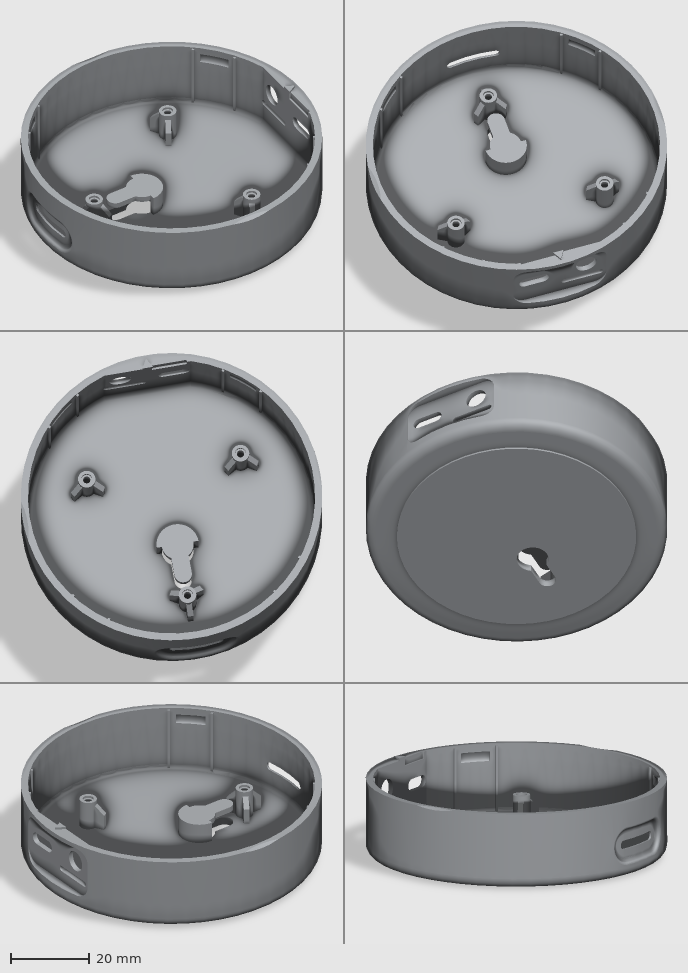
import cadquery as cq
import math

outer_radius = 38.5
pad_radius = 30.6
pad_height = 0.55
rim_height = 20.1
bottom_round = 2.5
inner_radius = 36.65
flat_wall_y = 34.9
floor_height = 2.15
floor_fillet = 1.15
anchor_height = (pad_height + floor_height) / 2
clearance = 0.8
wall_tolerance = 0.01

pointer_height = 0.6
pointer_half_width = 1.4
pointer_tip_y = 37.35
notch_left = 1.15
notch_right = 10.2
notch_depth = 0.55
notch_bottom = 18.25
scoop_radius = 20.3
scoop_reach = 1.15
scoop_depth = 0.5

port_height = 8.7
port_length = 21.8
port_width = 10.1
port_lip_round = 0.7
port_floor_fillet = 0.85
port_floor_radius = 37.2
port_slot_length = 14.2
port_slot_width = 2.3
port_end_wall_y = math.sqrt(inner_radius**2 - (port_length / 2) ** 2)

recess_face_y = 36.2
recess_width = 24.95
recess_bottom = 4.85
recess_top = 18.9
recess_corner = 3.5
round_hole_x = -7.1
round_hole_height = 13.7
round_hole_radius = 2.8
oblong_x = 6.85
oblong_height = 12.5
oblong_length = 8.0
oblong_width = 3.2
thin_slot_x = -6.0
thin_slot_height = 8.6
thin_slot_length = 11.1
thin_slot_width = 1.55

snap_angles = (50.0, 130.0, 225.0, 315.0)
rib_half_angle = 8.8
rib_width = 0.6
rib_reach = 0.55
rib_top = 19.6
pocket_half_angle = 6.0
pocket_bottom = 15.55
pocket_top = 18.1
pocket_depth = 0.6

post_radius = 2.2
post_top = 10.0
post_bore_radius = 0.9
post_mouth_radius = 1.4
post_mouth_depth = 0.6
fin_reach = 4.7
fin_width = 1.5
fin_inner_top = 8.7
fin_outer_top = 6.3
post_pair_x = 19.95
post_pair_y = 11.55
single_post_y = -23.4
pair_fin_angles = (210.0, 330.0)
single_fin_angles = (30.0, 150.0, 270.0)
posts = (
    (post_pair_x, post_pair_y, pair_fin_angles),
    (-post_pair_x, post_pair_y, pair_fin_angles),
    (0, single_post_y, single_fin_angles),
)

keyhole_y = -8.9
keyhole_head_radius = 4.1
keyhole_slot_width = 4.5
keyhole_slot_drop = 8.1
hood_radius = 5.4
hood_top = 7.6
hood_thickness = 1.55


def cylinder(radius, bottom, top, x=0.0, y=0.0):
    return cq.Workplane("XY", origin=(x, y, bottom)).circle(radius).extrude(top - bottom)


def block(x_range, y_range, z_range):
    size = [high - low for low, high in (x_range, y_range, z_range)]
    corner = (x_range[0], y_range[0], z_range[0])
    return cq.Workplane("XY", origin=corner).box(*size, centered=False)


def obround_through_wall(x, z, length, width, y_start, y_end):
    """Obround prism lying along X, running from y_start to y_end."""
    plane = cq.Workplane("XZ", origin=(x, y_start, z))
    return plane.slot2D(length, width).extrude(y_start - y_end)


def make_cavity():
    cavity = cylinder(inner_radius, floor_height, rim_height)
    reach = (-outer_radius, outer_radius)
    cavity = cavity.cut(block(reach, (flat_wall_y, outer_radius), (0, rim_height)))
    return cavity.faces("<Z").edges().fillet(floor_fillet)


def make_shell():
    body = cylinder(outer_radius, pad_height, rim_height).faces("<Z").edges().fillet(bottom_round)
    return body.union(cylinder(pad_radius, 0, anchor_height)).cut(make_cavity())


def make_pointer():
    """Small triangle on the rim that points outward at +Y."""
    corners = [(-pointer_half_width, flat_wall_y), (pointer_half_width, flat_wall_y), (0, pointer_tip_y)]
    return cq.Workplane("XY", origin=(0, 0, rim_height)).polyline(corners).close().extrude(pointer_height)


def make_rim_scoop(side):
    """Upright cone that leaves a shallow finger scoop in the rim."""
    axis_x = outer_radius - scoop_reach + scoop_radius
    profile = [
        (0, rim_height - scoop_depth),
        (scoop_radius - scoop_reach, rim_height - scoop_depth),
        (scoop_radius, rim_height),
        (0, rim_height),
    ]
    cone = cq.Workplane("XZ").polyline(profile).close().revolve(360, (0, 0), (0, 1))
    return cone.translate((side * axis_x, 0, 0))


def lies_on_outer_wall(edge):
    start = edge.startPoint()
    return math.isclose(math.hypot(start.x, start.y), outer_radius, abs_tol=wall_tolerance)


def cut_cable_port(part):
    """Sunk obround with a rounded lip and floor edge, pierced by a slot."""
    outside_y = -outer_radius - clearance
    inside_y = clearance - port_end_wall_y
    sink_length = port_length - 2 * port_lip_round
    sink_width = port_width - 2 * port_lip_round
    sink = obround_through_wall(0, port_height, sink_length, sink_width, outside_y, inside_y)
    sink = sink.cut(cylinder(port_floor_radius, 0, rim_height))
    sink = sink.faces(">Y").edges().fillet(port_floor_fillet)
    part = part.cut(sink)
    lip_zone = cq.selectors.BoxSelector(
        (-port_length / 2, outside_y, port_height - port_width / 2),
        (port_length / 2, -inner_radius, port_height + port_width / 2),
    )
    part = part.edges(lip_zone).filter(lies_on_outer_wall).fillet(port_lip_round)
    slot = obround_through_wall(0, port_height, port_slot_length, port_slot_width, outside_y, inside_y)
    return part.cut(slot)


def cut_connector_side(part):
    recess_height = recess_top - recess_bottom
    recess = cq.Workplane("XZ", origin=(0, outer_radius, recess_bottom + recess_height / 2))
    recess = recess.rect(recess_width, recess_height).extrude(outer_radius - recess_face_y)
    part = part.cut(recess.edges("|Y").fillet(recess_corner))
    inside_y = flat_wall_y - clearance
    round_hole = cq.Workplane("XZ", origin=(round_hole_x, outer_radius, round_hole_height))
    part = part.cut(round_hole.circle(round_hole_radius).extrude(outer_radius - inside_y))
    part = part.cut(
        obround_through_wall(oblong_x, oblong_height, oblong_length, oblong_width, outer_radius, inside_y)
    )
    return part.cut(
        obround_through_wall(
            thin_slot_x, thin_slot_height, thin_slot_length, thin_slot_width, outer_radius, inside_y
        )
    )


def make_wall_rib(angle):
    rib = block(
        (inner_radius - rib_reach, inner_radius + rib_reach),
        (-rib_width / 2, rib_width / 2),
        (floor_height, rib_top),
    )
    return rib.rotate((0, 0, 0), (0, 0, 1), angle)


def make_snap_pocket(angle):
    """Groove with an arched section, swept over a short arc of the inner wall."""
    middle = (pocket_bottom + pocket_top) / 2
    section = (
        cq.Workplane("XZ")
        .moveTo(inner_radius - clearance, pocket_bottom)
        .lineTo(inner_radius, pocket_bottom)
        .threePointArc((inner_radius + pocket_depth, middle), (inner_radius, pocket_top))
        .lineTo(inner_radius - clearance, pocket_top)
        .close()
    )
    groove = section.revolve(2 * pocket_half_angle, (0, 0), (0, 1))
    return groove.rotate((0, 0, 0), (0, 0, 1), angle - pocket_half_angle)


def make_fin(angle):
    """Buttress from the post axis outward, with a sloped top."""
    profile = [
        (0, anchor_height),
        (fin_reach, anchor_height),
        (fin_reach, fin_outer_top),
        (post_radius, fin_inner_top),
        (0, fin_inner_top),
    ]
    fin = cq.Workplane("XZ").polyline(profile).close().extrude(fin_width / 2, both=True)
    return fin.rotate((0, 0, 0), (0, 0, 1), angle)


def make_post(x, y, fin_angles):
    post = cylinder(post_radius, anchor_height, post_top)
    for angle in fin_angles:
        post = post.union(make_fin(angle))
    post = post.cut(cylinder(post_bore_radius, floor_height, post_top))
    post = post.cut(cylinder(post_mouth_radius, post_top - post_mouth_depth, post_top))
    return post.translate((x, y, 0))


def make_keyhole(bottom, top):
    """Round head with a narrower slot running toward -Y."""
    head = cylinder(keyhole_head_radius, bottom, top, y=keyhole_y)
    half_slot = keyhole_slot_width / 2
    slot_end_y = keyhole_y - keyhole_slot_drop
    slot = block((-half_slot, half_slot), (slot_end_y, keyhole_y), (bottom, top))
    return head.union(slot).union(cylinder(half_slot, bottom, top, y=slot_end_y))


def make_hood():
    """Keyhole-shaped cap carried by a half-round wall on the +Y side."""
    back_half = block((-hood_radius, hood_radius), (keyhole_y, keyhole_y + hood_radius), (0, hood_top))
    wall = cylinder(hood_radius, anchor_height, hood_top, y=keyhole_y).intersect(back_half)
    wall = wall.cut(cylinder(keyhole_head_radius, 0, hood_top - hood_thickness, y=keyhole_y))
    return wall.union(make_keyhole(hood_top - hood_thickness, hood_top))


result = make_shell()

for snap_angle in snap_angles:
    for offset in (-rib_half_angle, rib_half_angle):
        result = result.union(make_wall_rib(snap_angle + offset))
    result = result.cut(make_snap_pocket(snap_angle))

for post_x, post_y, fin_angles in posts:
    result = result.union(make_post(post_x, post_y, fin_angles))

result = result.cut(make_keyhole(0, hood_top)).union(make_hood())

result = cut_cable_port(result)
result = cut_connector_side(result)

result = result.cut(
    block(
        (notch_left, notch_right),
        (flat_wall_y - clearance, flat_wall_y + notch_depth),
        (notch_bottom, rim_height),
    )
)
for scoop_side in (-1, 1):
    result = result.cut(make_rim_scoop(scoop_side))
result = result.union(make_pointer())